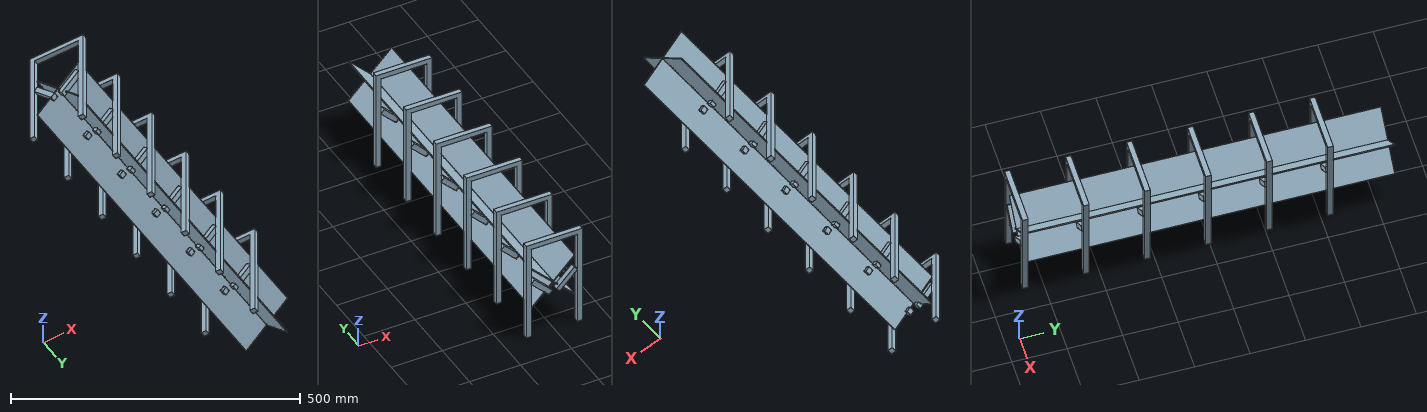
import cadquery as cq

length = 675.0
frame_width = 110.0
frame_height = 200.0

bar = 10.0
frame_count = 6
frame_pitch = 110.0

sheet_width = 120.0
sheet_thickness = 2.0
sheet_start = bar / 2
tilt = 45.0
cross_height = frame_height / 2

strut_length = 50.0
strut_offset = 17.5
strut_overshoot = 7.5


def portal_frame():
    """Upside-down U of square bar, open at the bottom, occupying Y from 0 to bar."""
    outer = cq.Workplane("XY").box(frame_width, bar, frame_height, centered=(True, False, False))
    opening = cq.Workplane("XY").box(
        frame_width - 2 * bar, bar, frame_height - bar, centered=(True, False, False)
    )
    return outer.cut(opening)


def place_on_cross(body, angle):
    """Turn a body about the Y axis and lift it to the line where the sheets cross."""
    return body.rotate((0, 0, 0), (0, 1, 0), angle).translate((0, 0, cross_height))


def sheet(angle):
    """Sheet running from the front frame to the back end, tilted about the crossing line."""
    flat = (
        cq.Workplane("XY")
        .box(sheet_width, length - sheet_start, sheet_thickness, centered=(True, False, True))
        .translate((0, sheet_start, 0))
    )
    return place_on_cross(flat, angle)


def left_strut():
    """Strut sloping down from the left leg and piercing the lower left half of a sheet."""
    flat = (
        cq.Workplane("XY")
        .box(strut_length, bar, bar, centered=(False, False, True))
        .translate((strut_overshoot - strut_length, 0, -strut_offset))
    )
    return place_on_cross(flat, tilt)


left = left_strut()
station = portal_frame().union(left).union(left.mirror("YZ"))

result = sheet(tilt).union(sheet(-tilt))
for index in range(frame_count):
    result = result.union(station.translate((0, index * frame_pitch, 0)))